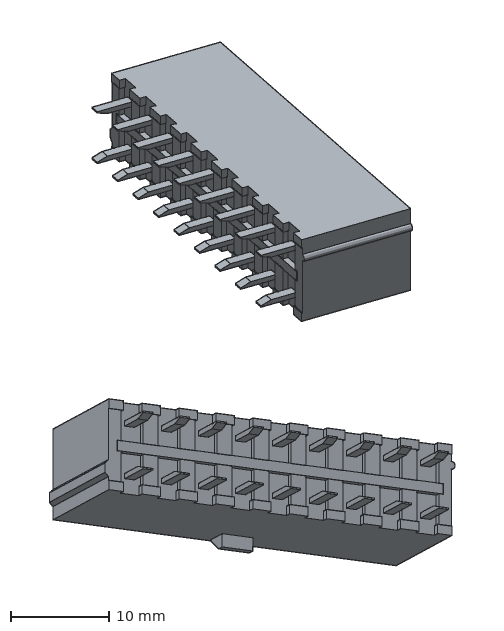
import cadquery as cq

columns = 9
pitch = 4.2

end_margin = 2.7
housing_length = (columns - 1) * pitch + 2 * end_margin
housing_depth = 12.8
housing_height = 9.6

edge_rail_height = 1.0
centre_rail_height = 1.1
centre_rail_inset = 1.0
pillar_recess = 0.1
pocket_width = 2.5
pocket_depth = 0.7
notch_width = 2.1

pin_width = 1.1
pin_thickness = 0.55
pin_projection = 3.5
pin_taper_length = 1.2
pin_tip_thickness = 0.15
lower_pin_outer_z = 1.6
upper_pin_outer_z = 7.7

rib_height = 0.4
left_rib_bottom_z = 1.4
left_rib_width = 1.8
right_rib_z = 7.45

latch_width = 3.5
latch_drop = 1.4
latch_ramp_start = 0.2
latch_ramp_end = 2.15
latch_end = 3.0

column_centres = [end_margin + i * pitch for i in range(columns)]
inner_height = housing_height - 2 * edge_rail_height


def box(x_start, y_start, z_start, length, depth, height):
    """Axis-aligned box placed by its lowest corner."""
    return cq.Workplane("XY").box(length, depth, height, centered=False).translate((x_start, y_start, z_start))


def front_relief():
    """Material removed from the front face: recessed pillars, contact pockets and edge notches."""
    relief = box(0, 0, edge_rail_height, housing_length, pillar_recess, inner_height)
    for x in column_centres:
        pocket = box(x - pocket_width / 2, 0, edge_rail_height, pocket_width, pocket_depth, inner_height)
        notch = box(x - notch_width / 2, 0, 0, notch_width, pocket_depth, housing_height)
        relief = relief.union(pocket).union(notch)
    return relief


def centre_rail():
    """Horizontal rail between the two pin rows, flush with the front face."""
    length = housing_length - 2 * centre_rail_inset
    bottom_z = (housing_height - centre_rail_height) / 2
    return box(centre_rail_inset, 0, bottom_z, length, pocket_depth, centre_rail_height)


def pin(x, outer_z, inward):
    """Pin with a flat outer side; inward is +1 or -1, the Z direction of its tapered side."""
    inner_z = outer_z + inward * pin_thickness
    tip_z = outer_z + inward * pin_tip_thickness
    profile = [
        (pocket_depth, outer_z),
        (-pin_projection, outer_z),
        (-pin_projection, tip_z),
        (-pin_projection + pin_taper_length, inner_z),
        (pocket_depth, inner_z),
    ]
    blank = cq.Workplane("YZ").polyline(profile).close().extrude(pin_width)
    return blank.translate((x - pin_width / 2, 0, 0))


def end_rib(profile):
    """Extrude an XZ rib profile from the pillar faces to the back of the housing."""
    return profile.extrude(-(housing_depth - pillar_recess)).translate((0, pillar_recess, 0))


def left_rib():
    """Rib with 45 degree flanks on the left end wall."""
    top_z = left_rib_bottom_z + left_rib_width
    profile = [
        (0, left_rib_bottom_z),
        (-rib_height, left_rib_bottom_z + rib_height),
        (-rib_height, top_z - rib_height),
        (0, top_z),
    ]
    return end_rib(cq.Workplane("XZ").polyline(profile).close())


def right_rib():
    """Half-round rib on the right end wall."""
    profile = (
        cq.Workplane("XZ")
        .moveTo(housing_length, right_rib_z - rib_height)
        .threePointArc(
            (housing_length + rib_height, right_rib_z),
            (housing_length, right_rib_z + rib_height),
        )
        .close()
    )
    return end_rib(profile)


def latch():
    """Ramped latch wedge centred under the housing near its back face."""
    profile = [
        (housing_depth - latch_ramp_start, 0),
        (housing_depth - latch_ramp_end, -latch_drop),
        (housing_depth - latch_end, -latch_drop),
        (housing_depth - latch_end, 0),
    ]
    wedge = cq.Workplane("YZ").polyline(profile).close().extrude(latch_width)
    return wedge.translate(((housing_length - latch_width) / 2, 0, 0))


result = box(0, 0, 0, housing_length, housing_depth, housing_height)
result = result.cut(front_relief()).union(centre_rail())
for column_x in column_centres:
    result = result.union(pin(column_x, lower_pin_outer_z, 1))
    result = result.union(pin(column_x, upper_pin_outer_z, -1))
result = result.union(left_rib()).union(right_rib()).union(latch())